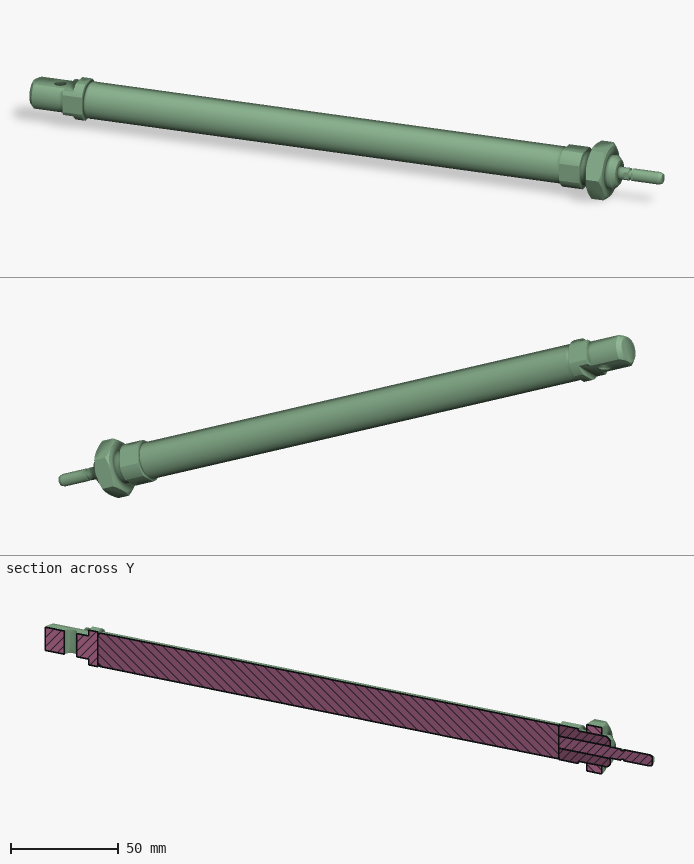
import cadquery as cq
import math


TOTAL_LENGTH = 311.0
REAR_COLLAR_START = 17.5
CLEVIS_FLAT_END = 22.5
BARREL_START = 27.0
BARREL_END = 263.0
FRONT_COLLAR_END = 273.0
NUT_START = 277.0
NOSE_END = 289.5

BARREL_DIAMETER = 17.5
REAR_EDGE_ROUND = 2.0
FRONT_EDGE_ROUND = 1.0

COLLAR_DIAMETER = 20.0
COLLAR_ACROSS_FLATS = 18.0
CAP_THREAD_DIAMETER = 16.0
CAP_END_CHAMFER = 2.0
CLEVIS_THICKNESS = 12.0
CLEVIS_HOLE_DIAMETER = 6.0
CLEVIS_HOLE_X = 13.0

NUT_ACROSS_FLATS = 24.0
NUT_ACROSS_CORNERS = NUT_ACROSS_FLATS / math.cos(math.pi / 6)
NUT_WIDTH = 8.0
NUT_CHAMFER_ANGLE = math.radians(30)

ROD_DIAMETER = 6.0
ROD_TIP_DIAMETER = 4.7
ROD_TIP_LENGTH = 1.5
NECK_START = 294.8
NECK_WIDTH = 1.2
NECK_DIAMETER = 4.7
WRENCH_FLAT_START = 292.5
WRENCH_FLAT_LENGTH = 4.5
ROD_ACROSS_FLATS = 5.0


def turned(profile):
    """Solid of revolution about X from (x, radius) points, closed along the axis."""
    first_x = profile[0][0]
    last_x = profile[-1][0]
    points = [(first_x, 0), *profile, (last_x, 0)]
    return cq.Workplane("XZ").polyline(points).close().revolve(360, (0, 0, 0), (1, 0, 0))


def rod_stock(start, end, diameter):
    """Plain round bar along X."""
    return turned([(start, diameter / 2), (end, diameter / 2)])


def block(start, end, width_y, height_z):
    """Box centred on the X axis."""
    length = end - start
    return cq.Workplane("XY").box(length, width_y, height_z).translate((start + length / 2, 0, 0))


def collar(start, end):
    """Round collar with four wrench flats."""
    flats = block(start, end, COLLAR_ACROSS_FLATS, COLLAR_ACROSS_FLATS)
    return rod_stock(start, end, COLLAR_DIAMETER).intersect(flats)


def make_rear_cap():
    radius = CAP_THREAD_DIAMETER / 2
    clevis = turned([
        (0, radius - CAP_END_CHAMFER),
        (CAP_END_CHAMFER, radius),
        (REAR_COLLAR_START, radius),
    ])
    cap = clevis.union(collar(REAR_COLLAR_START, BARREL_START))

    outside = block(0, CLEVIS_FLAT_END, COLLAR_DIAMETER, COLLAR_DIAMETER)
    kept = block(0, CLEVIS_FLAT_END, COLLAR_DIAMETER, CLEVIS_THICKNESS)
    cap = cap.cut(outside.cut(kept))

    pin_hole = (
        cq.Workplane("XY")
        .center(CLEVIS_HOLE_X, 0)
        .circle(CLEVIS_HOLE_DIAMETER / 2)
        .extrude(CLEVIS_THICKNESS, both=True)
    )
    return cap.cut(pin_hole)


def make_barrel():
    barrel = rod_stock(BARREL_START, BARREL_END, BARREL_DIAMETER)
    barrel = barrel.faces("<X").edges().fillet(REAR_EDGE_ROUND)
    return barrel.faces(">X").edges().fillet(FRONT_EDGE_ROUND)


def make_front_cap():
    radius = CAP_THREAD_DIAMETER / 2
    nose = turned([
        (FRONT_COLLAR_END, radius),
        (NOSE_END - CAP_END_CHAMFER, radius),
        (NOSE_END, radius - CAP_END_CHAMFER),
    ])
    rod_bore = rod_stock(BARREL_END, NOSE_END, ROD_DIAMETER)
    return collar(BARREL_END, FRONT_COLLAR_END).union(nose).cut(rod_bore)


def make_nut():
    """Hexagon nut with corners toward +Y and -Y and both ends chamfered down to the flats."""
    nut_end = NUT_START + NUT_WIDTH
    hexagon = (
        cq.Workplane("YZ", origin=(NUT_START, 0, 0))
        .polygon(6, NUT_ACROSS_CORNERS)
        .extrude(NUT_WIDTH)
    )
    end_radius = NUT_ACROSS_FLATS / 2
    corner_radius = NUT_ACROSS_CORNERS / 2
    chamfer_length = (corner_radius - end_radius) * math.tan(NUT_CHAMFER_ANGLE)
    envelope = turned([
        (NUT_START, end_radius),
        (NUT_START + chamfer_length, corner_radius),
        (nut_end - chamfer_length, corner_radius),
        (nut_end, end_radius),
    ])
    thread_bore = rod_stock(NUT_START, nut_end, CAP_THREAD_DIAMETER)
    return hexagon.intersect(envelope).cut(thread_bore)


def make_piston_rod():
    radius = ROD_DIAMETER / 2
    neck_end = NECK_START + NECK_WIDTH
    rod = turned([
        (BARREL_END, radius),
        (NECK_START, radius),
        (NECK_START, NECK_DIAMETER / 2),
        (neck_end, NECK_DIAMETER / 2),
        (neck_end, radius),
        (TOTAL_LENGTH - ROD_TIP_LENGTH, radius),
        (TOTAL_LENGTH, ROD_TIP_DIAMETER / 2),
    ])

    flat_end = WRENCH_FLAT_START + WRENCH_FLAT_LENGTH
    outside = block(WRENCH_FLAT_START, flat_end, ROD_DIAMETER, ROD_DIAMETER)
    kept = block(WRENCH_FLAT_START, flat_end, ROD_ACROSS_FLATS, ROD_DIAMETER)
    return rod.cut(outside.cut(kept))


rear_cap = make_rear_cap()
barrel = make_barrel()
front_cap = make_front_cap()
nut = make_nut()
piston_rod = make_piston_rod()

result = cq.Compound.makeCompound([
    rear_cap.solids().val(),
    barrel.solids().val(),
    front_cap.solids().val(),
    nut.solids().val(),
    piston_rod.solids().val(),
])